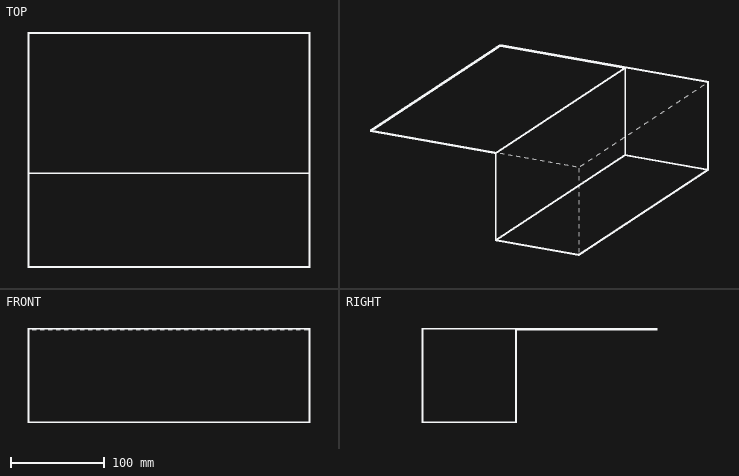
import cadquery as cq

length = 300.0
depth = 250.0
height = 100.0

block_depth = height
plate_thickness = 1.0

block = cq.Workplane("XY").box(length, block_depth, height, centered=(True, False, False))

plate = (
    cq.Workplane("XY")
    .workplane(offset=height - plate_thickness)
    .box(length, depth, plate_thickness, centered=(True, False, False))
)

result = block.union(plate).clean()